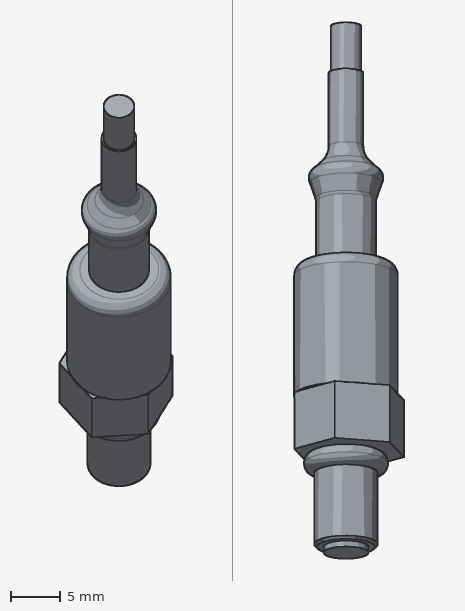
import cadquery as cq
import math

total_length = 55.4

nose_radius = 2.25
nose_length = 0.6
thread_radius = 3.2
thread_chamfer = 0.3

hex_across_flats = 9.95
hex_bottom = 10.45
hex_height = 6.0
hex_offset_x = -0.35
hex_top = hex_bottom + hex_height

ring_section_radius = 1.05

body_radius = 5.25
body_top = 30.4
body_fillet = 1.3

sleeve_radius = 3.05
flare_start = 36.95
flare_cone_start = 37.3
flare_cone_start_radius = 3.1
bulge_start = 38.95
bulge_start_radius = 3.65
bulge_middle = 39.6
bulge_radius = 3.75
bulge_end = 40.35

cable_radius = 1.8
cable_start = 42.75
cable_tip_radius = 1.55
cable_tip_length = 4.95

neck_arc_radius = 2.3
neck_angle = math.radians(45)
neck_start = cable_start - neck_arc_radius * math.sin(neck_angle)
neck_start_radius = cable_radius + neck_arc_radius * (1 - math.cos(neck_angle))
bulge_end_radius = neck_start_radius + (neck_start - bulge_end) * math.tan(neck_angle)


def cylinder(radius, bottom, top):
    """Cylinder on the main axis between two heights."""
    return cq.Workplane("XY").workplane(offset=bottom).circle(radius).extrude(top - bottom)


def make_threaded_end():
    nose = cylinder(nose_radius, 0, nose_length)
    shank = cylinder(thread_radius, nose_length, hex_bottom)
    return nose.union(shank.faces("<Z").edges().chamfer(thread_chamfer))


def make_sealing_ring():
    ring = cq.Solid.makeTorus(thread_radius, ring_section_radius)
    return cq.Workplane(ring).translate((0, 0, hex_bottom - ring_section_radius))


def make_hexagon():
    """Hexagon with corners on the Y axis and flats facing X."""
    across_corners = hex_across_flats / math.cos(math.radians(30))
    blank = cq.Workplane("XY").polygon(6, across_corners).extrude(hex_height)
    return blank.rotate((0, 0, 0), (0, 0, 1), 30).translate((hex_offset_x, 0, hex_bottom))


def make_body():
    return cylinder(body_radius, hex_top, body_top).faces(">Z").edges().fillet(body_fillet)


def make_sleeve_and_cable():
    """Revolved sleeve, collar, neck and cable, drawn as radius against height."""
    tip_start = total_length - cable_tip_length
    profile = (
        cq.Workplane("XZ")
        .moveTo(0, body_top)
        .lineTo(sleeve_radius, body_top)
        .lineTo(sleeve_radius, flare_start)
        .tangentArcPoint((flare_cone_start_radius, flare_cone_start), relative=False)
        .lineTo(bulge_start_radius, bulge_start)
        .threePointArc((bulge_radius, bulge_middle), (bulge_end_radius, bulge_end))
        .lineTo(neck_start_radius, neck_start)
        .tangentArcPoint((cable_radius, cable_start), relative=False)
        .lineTo(cable_radius, tip_start)
        .lineTo(cable_tip_radius, tip_start)
        .lineTo(cable_tip_radius, total_length)
        .lineTo(0, total_length)
        .close()
    )
    return profile.revolve(360, (0, 0), (0, 1))


result = (
    make_threaded_end()
    .union(make_sealing_ring())
    .union(make_hexagon())
    .union(make_body())
    .union(make_sleeve_and_cable())
)